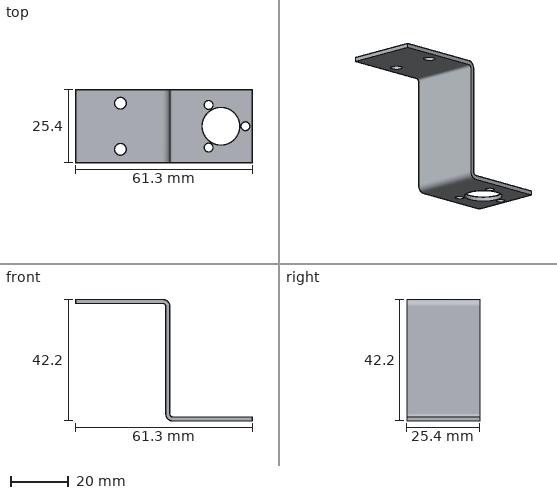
import cadquery as cq

length = 61.3
width = 25.4
height = 42.2
thickness = 1.5
inner_radius = 1.0
outer_radius = inner_radius + thickness
web_right = 32.75
web_left = web_right - thickness

mount_x = 15.6
mount_spacing = 16.0
mount_diameter = 4.0

bore_x = 50.4
bore_diameter = 13.0
screw_circle_radius = 8.5
screw_diameter = 3.0
screw_count = 3


def bent_strip():
    """Z-shaped sheet, centred across its width, with rounded bends."""
    outline = (
        cq.Workplane("XZ")
        .moveTo(0, height)
        .lineTo(web_right, height)
        .lineTo(web_right, thickness)
        .lineTo(length, thickness)
        .lineTo(length, 0)
        .lineTo(web_left, 0)
        .lineTo(web_left, height - thickness)
        .lineTo(0, height - thickness)
        .close()
    )
    strip = outline.extrude(width / 2, both=True)
    outer_corners = [(web_right, height), (web_left, 0)]
    inner_corners = [(web_left, height - thickness), (web_right, thickness)]
    for corners, radius in ((outer_corners, outer_radius), (inner_corners, inner_radius)):
        for x, z in corners:
            strip = strip.edges(cq.selectors.NearestToPointSelector((x, 0, z))).fillet(radius)
    return strip


def flange_plane(x, z):
    """Horizontal plane centred across the strip at the underside of a flange."""
    return cq.Workplane("XY", origin=(x, 0, z))


mount_holes = (
    flange_plane(mount_x, height - thickness)
    .rarray(0.6, mount_spacing, 1, 2)
    .circle(mount_diameter / 2)
    .extrude(thickness)
)
bore = flange_plane(bore_x, 0).circle(bore_diameter / 2).extrude(thickness)
screw_holes = (
    flange_plane(bore_x, 0)
    .polarArray(screw_circle_radius, 0, 360, screw_count)
    .circle(screw_diameter / 2)
    .extrude(thickness)
)

result = bent_strip().cut(mount_holes).cut(bore).cut(screw_holes)